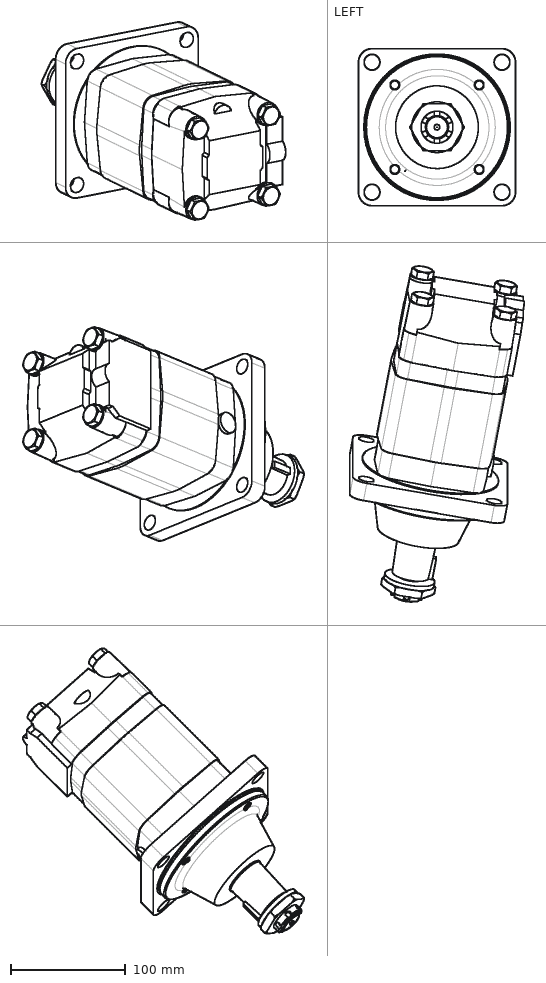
import cadquery as cq
import math


CASTLE_START = 2.0
NUT_HEX_START = 8.0
NUT_FLANGE_START = 15.2
NUT_END = 19.2
TAPER_START = 21.8
TAPER_END = 58.5
NOSE_START = 59.7
PILOT_START = 94.6
FLANGE_START = 102.7
FLANGE_END = 118.7
SPIGOT_END = 120.0
GEAR_START = 142.8
PLATE_START = 212.0
COVER_START = 228.0
COLUMN_END = 253.5
COVER_BACK = 277.5
BOSS_END = 280.2
COVER_END = 285.7
TOTAL_LENGTH = 286.8

THREAD_DIAMETER = 20.0
TIP_CHAMFER = 1.0
TAPER_SMALL_DIAMETER = 32.0
TAPER_LARGE_DIAMETER = 35.0
BORE_DIAMETER = 36.0
CENTRE_DRILL_DIAMETER = 5.0
CENTRE_DRILL_DEPTH = 2.3
KEY_WIDTH = 6.0
KEY_LENGTH = 19.2
KEY_TOP = 19.5
COTTER_DIAMETER = 5.0
COTTER_X = 4.5
CASTLE_DIAMETER = 27.8
CASTLE_SLOT_COUNT = 6
NUT_ACROSS_FLATS = 41.0
NUT_FLANGE_DIAMETER = 44.2

NOSE_DIAMETER = 72.0
NOSE_BASE_DIAMETER = 92.3
NOSE_FILLET = 5.7
PILOT_DIAMETER = 125.0
PILOT_CHAMFER = 1.1
PILOT_NECK_START = 101.2
PILOT_NECK_DIAMETER = 123.3
RELIEF_DIAMETER = 127.3
RELIEF_DEPTH = 0.5
FLANGE_SIDE = 136.8
FLANGE_CORNER_RADIUS = 12.0
FLANGE_HOLE_DIAMETER = 13.5
FLANGE_HOLE_OFFSET = 56.5
SPIGOT_DIAMETER = 120.5
PLUG_X = 132.0
PLUG_DIAMETER = 18.5
PLUG_TOP = 52.5
PLUG_BASE = 43.0

HOUSING_CORNER_RADIUS = 10.0
HOUSING_CROWN_ANGLE = 4.4
GEAR_CORNER_RADIUS = 11.2
GEAR_CROWN_ANGLE = 6.0
PLATE_CORNER_RADIUS = 10.3
PLATE_CROWN_ANGLE = 3.5
RIDGE_HALF_WIDTH = 5.0

HEX_CHAMFER_HEIGHT = 1.0
HEX_CHAMFER_WIDTH = 1.7

BOLT_OFFSET = 36.7
BOLT_DIAMETER = 8.3
BOLT_START = PILOT_START
BOLT_HEAD_ACROSS_FLATS = 17.0
BOLT_TIP_CHAMFER = 0.5

COVER_CORNER_RADIUS = 11.2
COVER_TOP = 51.5
COVER_SIDE = 49.0
COVER_TOP_EDGE = 49.3
FAIRING_END_OFFSET = 7.0
FAIRING_RADIUS = 14.3
FLANK_OFFSET = 10.3
REAR_SLOPE = 0.84
WALL_HALF_HEIGHT = 35.3
BOSS_START_RADIUS = 11.0
BOSS_END_RADIUS = 10.3
REAR_BLOCK_HALF_WIDTH = 26.5
REAR_PAD_TOP_WIDTH = 19.0
REAR_PAD_BASE_WIDTH = 23.5
REAR_PAD_HEIGHT = 2.3
VALVE_BUMP_DIAMETER = 18.0
VALVE_BUMP_Z = 38.1
VALVE_BUMP_END = 266.5
PORT_FACE_Y = 53.0
PORT_HALF_HEIGHT = 37.3
PORT_NARROW_HALF_HEIGHT = 31.0
PORT_SLOPE_START = VALVE_BUMP_END
PORT_SLOPE_END = 275.0
PORT_END = 279.5
PORT_PAD_X = 274.8
PORT_PAD_DIAMETER = 20.0

FLANK_Z = BOLT_OFFSET - math.sqrt(COVER_CORNER_RADIUS**2 - FLANK_OFFSET**2)
BOLT_CENTRES = [(y * BOLT_OFFSET, z * BOLT_OFFSET) for y in (-1, 1) for z in (-1, 1)]


def across_at(x):
    """Workplane across the shaft axis at x: local x is Y, local y is Z."""
    return cq.Workplane("YZ", origin=(x, 0, 0))


def cylinder(start, end, diameter):
    return across_at(start).circle(diameter / 2).extrude(end - start)


def hexagon(start, end, across_flats, chamfered_ends):
    """Hexagonal prism with corners on Y, flats up and down, and corners chamfered at the given ends."""
    corner_diameter = across_flats / math.cos(math.radians(30))
    envelope = cylinder(start, end, corner_diameter)
    envelope = envelope.faces(chamfered_ends).chamfer(HEX_CHAMFER_HEIGHT, HEX_CHAMFER_WIDTH)
    return across_at(start).polygon(6, corner_diameter).extrude(end - start).intersect(envelope)


def turned(points):
    """Solid of revolution about X from (x, radius) points."""
    return cq.Workplane("XY").polyline(points).close().revolve(360, (0, 0), (1, 0))


def bolt_holes(start, end):
    return across_at(start).pushPoints(BOLT_CENTRES).circle(BOLT_DIAMETER / 2).extrude(end - start)


def crowned_block(start, end, corner_radius, crown_angle, ridge_half_width):
    """Square section with corners round the bolts and sides tangent to them that rise to a ridge."""
    angle = math.radians(crown_angle)
    tangent_along = BOLT_OFFSET + corner_radius * math.sin(angle)
    tangent_out = BOLT_OFFSET + corner_radius * math.cos(angle)
    corner_out = BOLT_OFFSET + corner_radius * math.sqrt(0.5)
    ridge_edge = tangent_out + (tangent_along - ridge_half_width) * math.tan(angle)
    ridge_top = ridge_edge + ridge_half_width * math.tan(angle / 2)

    def turn(point, quarter):
        y, z = point
        for _ in range(quarter):
            y, z = z, -y
        return y, z

    outline = across_at(start).moveTo(-ridge_half_width, ridge_edge)
    for quarter in range(4):
        if ridge_half_width > 0:
            outline = outline.threePointArc(
                turn((0, ridge_top), quarter), turn((ridge_half_width, ridge_edge), quarter)
            )
        outline = outline.lineTo(*turn((tangent_along, tangent_out), quarter))
        outline = outline.threePointArc(
            turn((corner_out, corner_out), quarter), turn((tangent_out, tangent_along), quarter)
        )
        outline = outline.lineTo(*turn((-ridge_half_width, ridge_edge), (quarter + 1) % 4))
    return outline.close().extrude(end - start)


def make_shaft():
    thread_radius = THREAD_DIAMETER / 2
    profile = [
        (0, 0),
        (0, thread_radius - TIP_CHAMFER),
        (TIP_CHAMFER, thread_radius),
        (TAPER_START, thread_radius),
        (TAPER_START, TAPER_SMALL_DIAMETER / 2),
        (TAPER_END, TAPER_LARGE_DIAMETER / 2),
        (TAPER_END, BORE_DIAMETER / 2),
        (GEAR_START, BORE_DIAMETER / 2),
        (GEAR_START, 0),
    ]
    key = cq.Workplane("XY").box(KEY_LENGTH, KEY_TOP, KEY_WIDTH, centered=(False, False, True))
    key = key.translate((TAPER_START, 0, 0))
    centre_drill = turned([(0, 0), (0, CENTRE_DRILL_DIAMETER / 2), (CENTRE_DRILL_DEPTH, 0)])
    cotter_hole = (
        cq.Workplane("XY", origin=(COTTER_X, 0, 0))
        .circle(COTTER_DIAMETER / 2)
        .extrude(THREAD_DIAMETER / 2, both=True)
    )
    return turned(profile).union(key).cut(centre_drill).cut(cotter_hole)


def make_nut():
    """Castle nut with a round flange on its inner end."""
    nut = hexagon(NUT_HEX_START, NUT_FLANGE_START, NUT_ACROSS_FLATS, "<X or >X")
    nut = nut.union(cylinder(CASTLE_START, NUT_HEX_START, CASTLE_DIAMETER))
    nut = nut.union(cylinder(NUT_FLANGE_START, NUT_END, NUT_FLANGE_DIAMETER))
    slot_length = COTTER_X - CASTLE_START
    for index in range(CASTLE_SLOT_COUNT // 2):
        slot = cq.Workplane("XY", origin=(COTTER_X, 0, 0)).circle(COTTER_DIAMETER / 2)
        slot = slot.extrude(CASTLE_DIAMETER, both=True)
        mouth = cq.Workplane("XY").box(slot_length, COTTER_DIAMETER, 2 * CASTLE_DIAMETER)
        mouth = mouth.translate((CASTLE_START + slot_length / 2, 0, 0))
        slot = slot.union(mouth).rotate((0, 0, 0), (1, 0, 0), index * 360 / CASTLE_SLOT_COUNT)
        nut = nut.cut(slot)
    return nut.cut(cylinder(CASTLE_START, NUT_END, THREAD_DIAMETER))


def nose_and_pilot():
    """Conical nose running through a fillet into the pilot disc."""
    nose_radius = NOSE_DIAMETER / 2
    base_radius = NOSE_BASE_DIAMETER / 2
    pilot_radius = PILOT_DIAMETER / 2
    neck_radius = PILOT_NECK_DIAMETER / 2
    slope = math.atan2(base_radius - nose_radius, PILOT_START - NOSE_START)
    turn_angle = math.pi / 2 - slope
    tangent = NOSE_FILLET * math.tan(turn_angle / 2)
    centre = (PILOT_START - NOSE_FILLET, base_radius + tangent)
    middle = -turn_angle / 2
    fillet_middle = (
        centre[0] + NOSE_FILLET * math.cos(middle),
        centre[1] + NOSE_FILLET * math.sin(middle),
    )
    return (
        cq.Workplane("XY")
        .moveTo(NOSE_START, 0)
        .lineTo(NOSE_START, nose_radius)
        .lineTo(PILOT_START - tangent * math.cos(slope), base_radius - tangent * math.sin(slope))
        .threePointArc(fillet_middle, (PILOT_START, base_radius + tangent))
        .lineTo(PILOT_START, pilot_radius - PILOT_CHAMFER)
        .lineTo(PILOT_START + PILOT_CHAMFER, pilot_radius)
        .lineTo(PILOT_NECK_START, pilot_radius)
        .lineTo(PILOT_NECK_START, neck_radius)
        .lineTo(FLANGE_START + RELIEF_DEPTH, neck_radius)
        .lineTo(FLANGE_START + RELIEF_DEPTH, 0)
        .close()
        .revolve(360, (0, 0), (1, 0))
    )


def make_housing():
    flange = across_at(FLANGE_START).rect(FLANGE_SIDE, FLANGE_SIDE).extrude(FLANGE_END - FLANGE_START)
    flange = flange.edges("|X").fillet(FLANGE_CORNER_RADIUS)
    hole_spacing = 2 * FLANGE_HOLE_OFFSET
    flange_holes = across_at(FLANGE_START).rect(hole_spacing, hole_spacing, forConstruction=True).vertices()
    flange_holes = flange_holes.circle(FLANGE_HOLE_DIAMETER / 2).extrude(FLANGE_END - FLANGE_START)
    relief = cylinder(FLANGE_START, FLANGE_START + RELIEF_DEPTH, RELIEF_DIAMETER)
    plug = cq.Workplane("XZ", origin=(PLUG_X, PLUG_BASE, 0)).circle(PLUG_DIAMETER / 2)
    plug = plug.extrude(PLUG_BASE - PLUG_TOP)
    return (
        flange.cut(flange_holes)
        .cut(relief)
        .union(nose_and_pilot())
        .union(cylinder(FLANGE_END, SPIGOT_END, SPIGOT_DIAMETER))
        .union(crowned_block(SPIGOT_END, GEAR_START, HOUSING_CORNER_RADIUS, HOUSING_CROWN_ANGLE, 0))
        .union(plug)
        .cut(cylinder(NOSE_START, GEAR_START, BORE_DIAMETER))
        .cut(bolt_holes(NOSE_START, GEAR_START))
    )


def make_gear_ring():
    block = crowned_block(GEAR_START, PLATE_START, GEAR_CORNER_RADIUS, GEAR_CROWN_ANGLE, RIDGE_HALF_WIDTH)
    return block.cut(bolt_holes(GEAR_START, PLATE_START))


def make_plate():
    block = crowned_block(PLATE_START, COVER_START, PLATE_CORNER_RADIUS, PLATE_CROWN_ANGLE, RIDGE_HALF_WIDTH)
    return block.cut(bolt_holes(PLATE_START, COVER_START))


def mirrored_both_ways(solid):
    """Whole solid from its quarter at +Y and +Z."""
    half = solid.union(solid.mirror("XZ"))
    return half.union(half.mirror("XY"))


def cover_front():
    """Full section: ridged on four sides, with two joined rounds at each corner."""
    fairing_end_z = BOLT_OFFSET + math.sqrt(COVER_CORNER_RADIUS**2 - FAIRING_END_OFFSET**2)
    quarter = (
        across_at(COVER_START)
        .lineTo(0, COVER_TOP)
        .lineTo(BOLT_OFFSET, COVER_TOP_EDGE)
        .radiusArc((BOLT_OFFSET + FAIRING_END_OFFSET, fairing_end_z), FAIRING_RADIUS)
        .threePointArc(
            (BOLT_OFFSET + COVER_CORNER_RADIUS, BOLT_OFFSET), (BOLT_OFFSET + FLANK_OFFSET, FLANK_Z)
        )
        .lineTo(COVER_SIDE, 0)
        .close()
        .extrude(COLUMN_END - COVER_START)
    )
    return mirrored_both_ways(quarter)


def cover_rear():
    """Side walls between the bosses, and a middle that slopes down to the narrower rear face."""
    rear_z = COVER_TOP - REAR_SLOPE * (COVER_END - COLUMN_END)
    middle_outline = [(COLUMN_END, 0), (COLUMN_END, COVER_TOP), (COVER_END, rear_z), (COVER_END, 0)]
    slope = cq.Workplane("XZ").polyline(middle_outline).close().extrude(-BOLT_OFFSET)
    ridge_outline = [(0, 0), (0, COVER_TOP), (BOLT_OFFSET, COVER_TOP_EDGE), (BOLT_OFFSET, 0)]
    ridge = across_at(COLUMN_END).polyline(ridge_outline).close().extrude(COVER_BACK - COLUMN_END)
    block = across_at(COVER_BACK).rect(2 * REAR_BLOCK_HALF_WIDTH, 2 * COVER_TOP)
    block = block.extrude(COVER_END - COVER_BACK).union(rear_pad())
    side_slope = (COVER_SIDE - BOLT_OFFSET - FLANK_OFFSET) / FLANK_Z
    wall_edge = COVER_SIDE - side_slope * WALL_HALF_HEIGHT
    wall_outline = [
        (0, 0),
        (0, rear_z),
        (REAR_BLOCK_HALF_WIDTH, rear_z),
        (BOLT_OFFSET, WALL_HALF_HEIGHT),
        (wall_edge, WALL_HALF_HEIGHT),
        (COVER_SIDE, 0),
    ]
    wall = across_at(COLUMN_END).polyline(wall_outline).close().extrude(COVER_BACK - COLUMN_END)
    return mirrored_both_ways(ridge.union(block).intersect(slope).union(wall))


def rear_pad():
    """Tapered pad on the +Y side of the rear block."""
    pad_side = REAR_BLOCK_HALF_WIDTH + REAR_PAD_HEIGHT
    pad = across_at(COVER_BACK).polyline(
        [
            (0, REAR_PAD_BASE_WIDTH / 2),
            (REAR_BLOCK_HALF_WIDTH, REAR_PAD_BASE_WIDTH / 2),
            (pad_side, REAR_PAD_TOP_WIDTH / 2),
            (pad_side, -REAR_PAD_TOP_WIDTH / 2),
            (REAR_BLOCK_HALF_WIDTH, -REAR_PAD_BASE_WIDTH / 2),
            (0, -REAR_PAD_BASE_WIDTH / 2),
        ]
    )
    return pad.close().extrude(COVER_END - COVER_BACK)


def make_cover():
    cover = cover_front().union(cover_rear())
    boss = turned(
        [
            (COLUMN_END, 0),
            (COLUMN_END, BOSS_START_RADIUS),
            (BOSS_END, BOSS_END_RADIUS),
            (BOSS_END, 0),
        ]
    )
    for y, z in BOLT_CENTRES:
        cover = cover.union(boss.translate((0, y, z)))
    bump = cylinder(COLUMN_END, VALVE_BUMP_END, VALVE_BUMP_DIAMETER).translate((0, 0, VALVE_BUMP_Z))
    cover = cover.union(bump).union(port_block())
    return cover.cut(bolt_holes(COVER_START, COVER_END))


def port_block():
    """Port face on the +Y side, narrowed at the rear, with a round pad at its rear end."""
    outline = [
        (COVER_START, PORT_HALF_HEIGHT),
        (PORT_SLOPE_START, PORT_HALF_HEIGHT),
        (PORT_SLOPE_END, PORT_NARROW_HALF_HEIGHT),
        (PORT_END, PORT_NARROW_HALF_HEIGHT),
        (PORT_END, -PORT_NARROW_HALF_HEIGHT),
        (PORT_SLOPE_END, -PORT_NARROW_HALF_HEIGHT),
        (PORT_SLOPE_START, -PORT_HALF_HEIGHT),
        (COVER_START, -PORT_HALF_HEIGHT),
    ]
    base = cq.Workplane("XZ", origin=(0, BOLT_OFFSET, 0))
    depth = BOLT_OFFSET - PORT_FACE_Y
    block = base.polyline(outline).close().extrude(depth)
    pad = base.center(PORT_PAD_X, 0).circle(PORT_PAD_DIAMETER / 2).extrude(depth)
    return block.union(pad)


def make_bolt(y, z):
    shank = cylinder(BOLT_START, BOSS_END, BOLT_DIAMETER).faces("<X").chamfer(BOLT_TIP_CHAMFER)
    head = hexagon(BOSS_END, TOTAL_LENGTH, BOLT_HEAD_ACROSS_FLATS, ">X")
    return shank.union(head).translate((0, y, z))


shaft = make_shaft()
nut = make_nut()
housing = make_housing()
gear_ring = make_gear_ring()
plate = make_plate()
cover = make_cover()
bolts = [make_bolt(y, z) for y, z in BOLT_CENTRES]

result = cq.Compound.makeCompound(
    [shaft.val(), nut.val(), housing.val(), gear_ring.val(), plate.val(), cover.val()]
    + [bolt.val() for bolt in bolts]
)